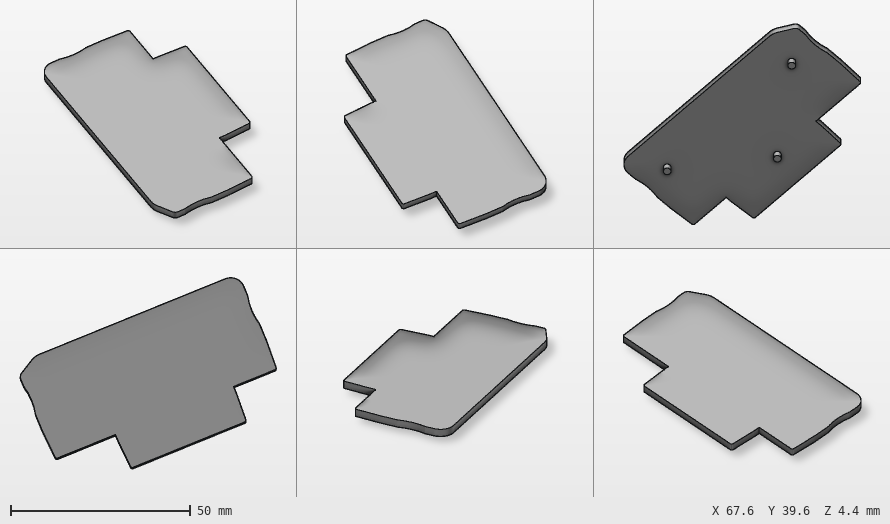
import cadquery as cq
import math

length = 67.6
depth = 39.6
total_height = 4.4
plate_thickness = 2.3

draft_slope = math.tan(math.radians(3.0))

shoulder_y = 29.15
body_draft_start_y = 20.6
body_inset = (shoulder_y - body_draft_start_y) * draft_slope

tab_left = 13.45
tab_right = 49.15
tab_draft_start_y = 31.0
tab_inset = (depth - tab_draft_start_y) * draft_slope

grip_bottom_y = 6.75
grip_top_y = 15.4
grip_middle_y = (grip_bottom_y + grip_top_y) / 2
grip_depth = 0.55

bevel_width = 6.1
bevel_angle = 30.0
bevel_height = bevel_width * math.tan(math.radians(bevel_angle))
front_left_radius = 4.0
bevel_lower_radius = 5.3
bevel_upper_radius = 1.6
back_corner_radius = 0.6

peg_diameter = 2.15
peg_centers = [(9.05, 10.35), (58.55, 10.35), (33.65, 29.3)]


def round_corner(body, corner, radius):
    """Fillet the vertical plate edge closest to the given outline corner."""
    point = (corner[0], corner[1], plate_thickness / 2)
    return body.edges("|Z").edges(cq.selectors.NearestToPointSelector(point)).fillet(radius)


def make_plate():
    bevel_start = (length - bevel_width, 0)
    bevel_end = (length, bevel_height)
    right_shoulder = (length - body_inset, shoulder_y)
    tab_back_right = (tab_right - tab_inset, depth)
    tab_back_left = (tab_left + tab_inset, depth)
    left_shoulder = (body_inset, shoulder_y)

    plate = (
        cq.Workplane("XY")
        .moveTo(0, 0)
        .lineTo(*bevel_start)
        .lineTo(*bevel_end)
        .lineTo(length, grip_bottom_y)
        .threePointArc((length - grip_depth, grip_middle_y), (length, grip_top_y))
        .lineTo(length, body_draft_start_y)
        .lineTo(*right_shoulder)
        .lineTo(tab_right, shoulder_y)
        .lineTo(tab_right, tab_draft_start_y)
        .lineTo(*tab_back_right)
        .lineTo(*tab_back_left)
        .lineTo(tab_left, tab_draft_start_y)
        .lineTo(tab_left, shoulder_y)
        .lineTo(*left_shoulder)
        .lineTo(0, body_draft_start_y)
        .lineTo(0, grip_top_y)
        .threePointArc((grip_depth, grip_middle_y), (0, grip_bottom_y))
        .close()
        .extrude(plate_thickness)
    )

    plate = round_corner(plate, (0, 0), front_left_radius)
    plate = round_corner(plate, bevel_start, bevel_lower_radius)
    plate = round_corner(plate, bevel_end, bevel_upper_radius)
    for corner in (right_shoulder, tab_back_right, tab_back_left, left_shoulder):
        plate = round_corner(plate, corner, back_corner_radius)
    return plate


def make_pegs():
    return (
        cq.Workplane("XY", origin=(0, 0, plate_thickness - total_height))
        .pushPoints(peg_centers)
        .circle(peg_diameter / 2)
        .extrude(total_height)
    )


result = make_plate().union(make_pegs())